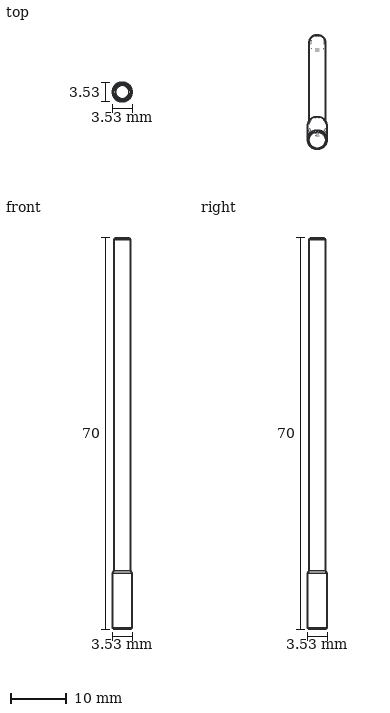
import cadquery as cq
import math

total_length = 70.0

tip_diameter = 3.53
tip_length = 10.0

shank_diameter = 3.0
shank_top_chamfer = 0.3
flare_angle = 30.0

tip_radius = tip_diameter / 2
shank_radius = shank_diameter / 2
step_width = tip_radius - shank_radius
flare_height = step_width / math.tan(math.radians(flare_angle))


def make_tip():
    """Cylinder standing on Z = 0, with its lower edge bevelled down to the shank diameter."""
    tip = cq.Workplane("XY").circle(tip_radius).extrude(tip_length)
    return tip.faces("<Z").chamfer(step_width)


def make_shank():
    """Long round bar resting on the tip, with a conical foot and a bevelled free end."""
    half_profile = (
        cq.Workplane("XZ")
        .moveTo(0, tip_length)
        .lineTo(tip_radius, tip_length)
        .lineTo(shank_radius, tip_length + flare_height)
        .lineTo(shank_radius, total_length - shank_top_chamfer)
        .lineTo(shank_radius - shank_top_chamfer, total_length)
        .lineTo(0, total_length)
        .close()
    )
    return half_profile.revolve(360, (0, 0, 0), (0, 1, 0))


tip = make_tip()
shank = make_shank()

result = cq.Compound.makeCompound([tip.val(), shank.val()])